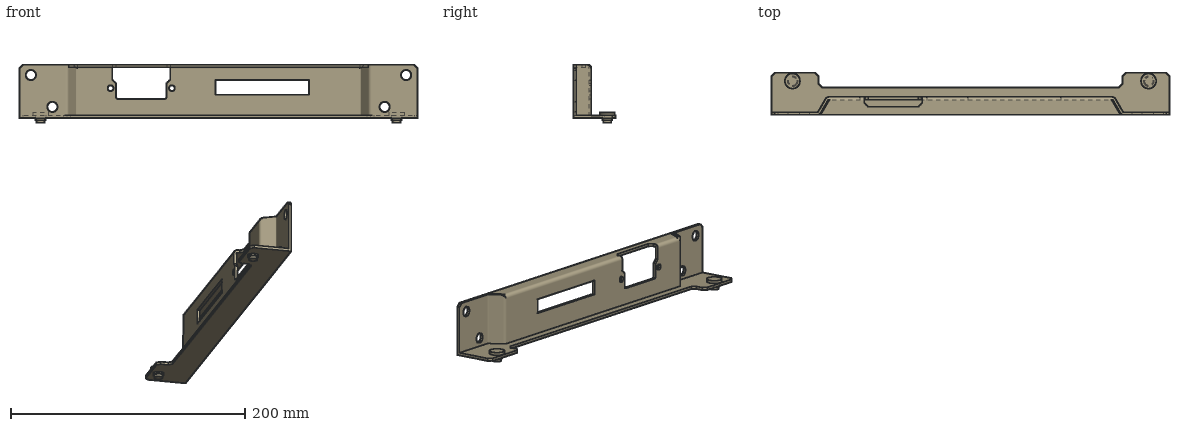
import cadquery as cq
import math

LENGTH = 340.0
DEPTH = 36.0
HEIGHT = 45.5
SHEET = 2.5
HALF_LENGTH = LENGTH / 2
FRONT_Y = -DEPTH / 2
BACK_Y = DEPTH / 2
CORNER_CHAMFER = 3.0

BEND_INNER_RADIUS = 0.85
BEND_OUTER_RADIUS = BEND_INNER_RADIUS + SHEET

STRIP_BACK_Y = 5.5
TAB_INNER_X = 129.5

SLANT_ANGLE = math.radians(60)
EAR_INNER_X = 129.0
WALL_BACK_Y = -2.7
EAR_BACK_Y = FRONT_Y + SHEET
WALL_INNER_Y = WALL_BACK_Y - SHEET
WALL_INNER_X = EAR_INNER_X - (WALL_INNER_Y - FRONT_Y) / math.tan(SLANT_ANGLE)
FOLD_SHIFT = SHEET * math.tan(SLANT_ANGLE / 2)

FLANGE_GAP = 0.85

EAR_HOLE_DIAMETER = 8.5
EAR_HOLES = [(160.0, 36.7), (141.8, 9.5)]

OPENING_X = -66.0
OPENING_BOTTOM_Z = 16.3
OPENING_SHOULDER_Z = 29.5
OPENING_FRONT_Y = -11.0
OPENING_LOWER_WIDTH = 43.0
OPENING_UPPER_WIDTH = 49.3
OPENING_BOTTOM_RADIUS = 1.7
SCREW_HOLE_DIAMETER = 4.8
SCREW_HOLE_SPACING = 52.5
SCREW_HOLE_Z = 25.5

SLOT_X = 37.5
SLOT_Z = 26.2
SLOT_LENGTH = 79.5
SLOT_HEIGHT = 12.2

PIN_X = 152.0
PIN_Y = 11.0
HEAD_DIAMETER = 13.0
HEAD_HEIGHT = 2.5
COLLAR_DIAMETER = 9.0
COLLAR_DROP = 1.7
TIP_DIAMETER = 7.0
TIP_DROP = 4.0


def cylinder(diameter, bottom_z, top_z):
    return cq.Workplane("XY").workplane(offset=bottom_z).circle(diameter / 2).extrude(top_z - bottom_z)


def through_wall(sketch):
    """Extrude a profile drawn in XZ from the front face to just behind the back wall."""
    return sketch.extrude(-(STRIP_BACK_Y - FRONT_Y))


def front_plane():
    return cq.Workplane("XZ", origin=(0, FRONT_Y, 0))


def uprights_at(solid, corners):
    """The vertical edges that stand at the given (x, y) corners."""
    reach = 0.05
    selector = None
    for x, y in corners:
        at_corner = cq.selectors.BoxSelector(
            (x - reach, y - reach, -HEIGHT), (x + reach, y + reach, 2 * HEIGHT)
        )
        selector = at_corner if selector is None else selector + at_corner
    return solid.edges("|Z").edges(selector)


def both_sides(points):
    """The points and their mirror images about x = 0."""
    return [(side * x, y) for side in (1, -1) for x, y in points]


def make_base():
    outline = [
        (-HALF_LENGTH, FRONT_Y),
        (HALF_LENGTH, FRONT_Y),
        (HALF_LENGTH, BACK_Y),
        (TAB_INNER_X, BACK_Y),
        (TAB_INNER_X, STRIP_BACK_Y),
        (-TAB_INNER_X, STRIP_BACK_Y),
        (-TAB_INNER_X, BACK_Y),
        (-HALF_LENGTH, BACK_Y),
    ]
    base = cq.Workplane("XY").polyline(outline).close().extrude(SHEET)
    tab_corners = outline[2:5]
    return uprights_at(base, both_sides(tab_corners)).chamfer(CORNER_CHAMFER)


def make_wall():
    front_face = [
        (HALF_LENGTH, FRONT_Y),
        (EAR_INNER_X, FRONT_Y),
        (WALL_INNER_X, WALL_INNER_Y),
    ]
    back_face = [
        (WALL_INNER_X + FOLD_SHIFT, WALL_BACK_Y),
        (EAR_INNER_X + FOLD_SHIFT, EAR_BACK_Y),
        (HALF_LENGTH, EAR_BACK_Y),
    ]
    right_half = front_face[::-1] + back_face[::-1]
    left_half = [(-x, y) for x, y in reversed(right_half)]
    wall = cq.Workplane("XY").polyline(right_half + left_half).close().extrude(HEIGHT)
    outer_folds = both_sides([front_face[1], back_face[0]])
    inner_folds = both_sides([front_face[2], back_face[1]])
    wall = uprights_at(wall, outer_folds).fillet(BEND_OUTER_RADIUS)
    wall = uprights_at(wall, inner_folds).fillet(BEND_INNER_RADIUS)
    return wall.faces("<X or >X").edges(">Z").chamfer(CORNER_CHAMFER)


def make_flange():
    front_x = EAR_INNER_X - FLANGE_GAP
    back_x = WALL_INNER_X - FLANGE_GAP
    outline = [
        (-front_x, FRONT_Y),
        (front_x, FRONT_Y),
        (back_x, WALL_INNER_Y),
        (back_x, WALL_BACK_Y),
        (-back_x, WALL_BACK_Y),
        (-back_x, WALL_INNER_Y),
    ]
    underside = cq.Workplane("XY").workplane(offset=HEIGHT - SHEET)
    return underside.polyline(outline).close().extrude(SHEET)


def make_bend_trim():
    """Waste outside the rounded bend from the back wall to the top flange."""
    start_y = WALL_BACK_Y - BEND_OUTER_RADIUS
    start_z = HEIGHT - BEND_OUTER_RADIUS
    diagonal = BEND_OUTER_RADIUS * math.sqrt(0.5)
    return (
        cq.Workplane("YZ")
        .moveTo(start_y, HEIGHT)
        .threePointArc((start_y + diagonal, start_z + diagonal), (WALL_BACK_Y, start_z))
        .lineTo(WALL_BACK_Y, HEIGHT)
        .close()
        .extrude(HALF_LENGTH, both=True)
    )


def make_inner_bend():
    """Rounded inside corner between the back wall and the top flange."""
    start_y = WALL_INNER_Y - BEND_INNER_RADIUS
    start_z = HEIGHT - SHEET - BEND_INNER_RADIUS
    diagonal = BEND_INNER_RADIUS * math.sqrt(0.5)
    return (
        cq.Workplane("YZ")
        .moveTo(start_y, HEIGHT - SHEET)
        .threePointArc((start_y + diagonal, start_z + diagonal), (WALL_INNER_Y, start_z))
        .lineTo(WALL_INNER_Y, HEIGHT - SHEET)
        .close()
        .extrude(WALL_INNER_X - FLANGE_GAP, both=True)
    )


def make_ear_holes():
    centres = both_sides(EAR_HOLES)
    return through_wall(front_plane().pushPoints(centres).circle(EAR_HOLE_DIAMETER / 2))


def make_screw_holes():
    centres = [(OPENING_X + side * SCREW_HOLE_SPACING / 2, SCREW_HOLE_Z) for side in (-1, 1)]
    return through_wall(front_plane().pushPoints(centres).circle(SCREW_HOLE_DIAMETER / 2))


def make_slot():
    return through_wall(front_plane().center(SLOT_X, SLOT_Z).rect(SLOT_LENGTH, SLOT_HEIGHT))


def make_opening():
    lower_x = OPENING_LOWER_WIDTH / 2
    upper_x = OPENING_UPPER_WIDTH / 2
    shoulder_top_z = OPENING_SHOULDER_Z + upper_x - lower_x
    right_side = [
        (lower_x, OPENING_BOTTOM_Z),
        (lower_x, OPENING_SHOULDER_Z),
        (upper_x, shoulder_top_z),
        (upper_x, HEIGHT),
    ]
    left_side = [(-x, z) for x, z in reversed(right_side)]
    front = cq.Workplane("XZ", origin=(OPENING_X, OPENING_FRONT_Y, 0))
    opening = front.polyline(right_side + left_side).close().extrude(OPENING_FRONT_Y)
    opening = opening.faces("<Z").edges("|Y").fillet(OPENING_BOTTOM_RADIUS)
    notch_corners = [(OPENING_X + side * upper_x, OPENING_FRONT_Y) for side in (-1, 1)]
    return uprights_at(opening, notch_corners).chamfer(CORNER_CHAMFER)


def make_pin(x):
    head = cylinder(HEAD_DIAMETER, SHEET, SHEET + HEAD_HEIGHT)
    collar = cylinder(COLLAR_DIAMETER, -COLLAR_DROP, SHEET)
    tip = cylinder(TIP_DIAMETER, -TIP_DROP, -COLLAR_DROP)
    return head.union(collar).union(tip).translate((x, PIN_Y, 0))


def make_pin_hole(x):
    return cylinder(COLLAR_DIAMETER, 0, SHEET).translate((x, PIN_Y, 0))


def make_bracket():
    shell = make_wall().union(make_flange()).union(make_inner_bend()).cut(make_bend_trim())
    bracket = make_base().union(shell)
    for cutter in (make_ear_holes(), make_opening(), make_screw_holes(), make_slot()):
        bracket = bracket.cut(cutter)
    for side in (-1, 1):
        bracket = bracket.cut(make_pin_hole(side * PIN_X))
    return bracket


bracket = make_bracket()
pins = [make_pin(side * PIN_X) for side in (-1, 1)]

result = cq.Compound.makeCompound([body.solids().val() for body in (bracket, *pins)])